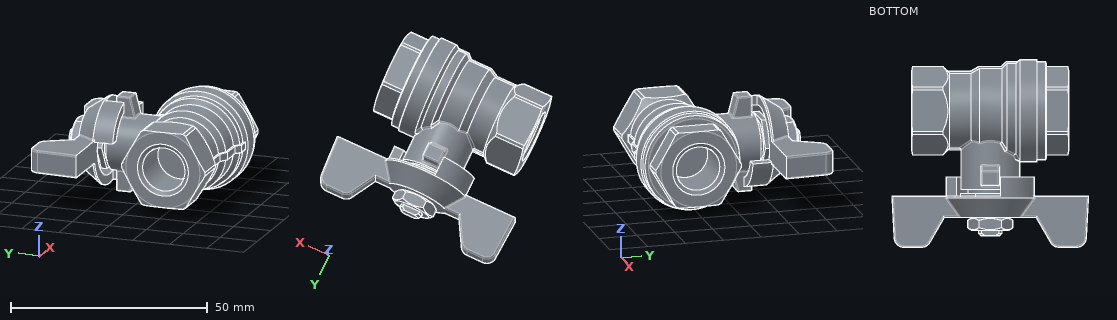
import cadquery as cq
import math


body_half_length = 20.0
hex_across_flats = 20.0
hex_corner_radius = 11.29
hex_end_chamfer = 0.25
left_hex_inner_x = -10.3
waist_radius = 9.55
belly_radius = 10.75
shoulder_radius = 12.0
collar_radius = 13.0
cap_radius = 12.5
waist_end_x = -4.85
belly_start_x = -2.75
belly_end_x = 2.95
shoulder_start_x = 4.25
shoulder_end_x = 6.5
collar_end_x = 11.85
cap_end_x = 14.35
cap_chamfer_length = 0.25
cap_chamfer_height = 0.8

port_diameter = 11.45
port_mouth_diameter = 13.75
port_mouth_depth = 0.65
port_depth = 12.0

rib_width = 2.0
rib_height = 0.5
rib_start_x = -10.7

neck_radius = 7.5
neck_top_y = 20.0
neck_blend_radius = 0.5
gland_radius = 11.26 / 2
stem_hex_across_flats = 13.0
stem_hex_bottom_y = 21.1
stem_hex_thickness = 1.5
lug_width = 4.6
lug_reach = 12.6
lug_top_y = 19.05
lug_tip_bottom_y = 15.3
lug_root_bottom_y = 14.0
lug_edge_radius = 0.3

hub_bottom_y = 21.73
hub_rim_y = 22.2
hub_top_y = 27.2
hub_radius = 11.5
hub_top_radius = 8.1
recess_radius = 9.0
recess_depth = 3.4
skirt_bottom_y = 16.8
skirt_gap_half_width = 2.6

wing_half_span = 25.0
wing_top_y = 34.73
wing_thickness = 6.0
wing_side_draft = 3.0
wing_slope_angle = 60.0
wing_slope_foot_x = 11.7
wing_corner_radius = 2.5
wing_edge_radius = 0.4
wing_root_radius = 0.3

edge_tolerance = 0.1

nut_across_flats = 10.0
nut_top_y = 30.43
nut_face_radius = 4.75
nut_chamfer_height = 0.7
stem_radius = 3.0
stem_tip_y = 31.8
stem_chamfer = 0.65
stem_across_flats = 4.0


def circumradius(across_flats):
    return across_flats / 2 / math.cos(math.pi / 6)


def turned_about_x(outline):
    """Solid of revolution about X from (x, radius) points."""
    return cq.Workplane("XY").polyline(outline).close().revolve(360, (0, 0, 0), (1, 0, 0))


def turned_about_y(outline):
    """Solid of revolution about Y from (radius, y) points."""
    return cq.Workplane("XY").polyline(outline).close().revolve(360, (0, 0, 0), (0, 1, 0))


def cylinder_along_y(radius, bottom_y, top_y):
    return turned_about_y([(0, bottom_y), (radius, bottom_y), (radius, top_y), (0, top_y)])


def hexagon_along_y(across_flats, bottom_y, top_y):
    """Hexagonal prism along Y with flats facing +Z and -Z."""
    prism = cq.Workplane("XZ").polygon(6, 2 * circumradius(across_flats)).extrude(bottom_y - top_y)
    return prism.translate((0, bottom_y, 0))


def wrench_hexagon(outer_x, inner_x):
    """Hexagon of the body along X with flats facing +Z and -Z."""
    blank = cq.Workplane("YZ").polygon(6, 2 * circumradius(hex_across_flats)).extrude(inner_x - outer_x)
    return blank.translate((outer_x, 0, 0))


def make_hexagons():
    flat_radius = hex_across_flats / 2
    left_corner_end_x = left_hex_inner_x - (hex_corner_radius - waist_radius)
    left_envelope = turned_about_x([
        (-body_half_length, 0),
        (-body_half_length, flat_radius),
        (-body_half_length + hex_end_chamfer, hex_corner_radius),
        (left_corner_end_x, hex_corner_radius),
        (left_hex_inner_x, waist_radius),
        (left_hex_inner_x, 0),
    ])
    right_envelope = turned_about_x([
        (collar_end_x, 0),
        (collar_end_x, hex_corner_radius),
        (body_half_length - hex_end_chamfer, hex_corner_radius),
        (body_half_length, flat_radius),
        (body_half_length, 0),
    ])
    left = wrench_hexagon(-body_half_length, left_hex_inner_x).intersect(left_envelope)
    right = wrench_hexagon(collar_end_x, body_half_length).intersect(right_envelope)
    return left, right


def make_barrel_core():
    """Barrel left of the collar; its last cone runs on past the collar radius."""
    cone_reach = 2 * (collar_radius - shoulder_radius)
    return turned_about_x([
        (left_hex_inner_x, 0),
        (left_hex_inner_x, waist_radius),
        (waist_end_x, waist_radius),
        (belly_start_x, belly_radius),
        (belly_end_x, belly_radius),
        (shoulder_start_x, shoulder_radius),
        (shoulder_end_x, shoulder_radius),
        (shoulder_end_x + cone_reach, shoulder_radius + cone_reach),
        (shoulder_end_x + cone_reach, 0),
    ])


def make_collar():
    collar_start_x = shoulder_end_x + collar_radius - shoulder_radius
    return turned_about_x([
        (shoulder_end_x, 0),
        (shoulder_end_x, shoulder_radius),
        (collar_start_x, collar_radius),
        (collar_end_x, collar_radius),
        (collar_end_x, cap_radius),
        (cap_end_x - cap_chamfer_length, cap_radius),
        (cap_end_x, cap_radius - cap_chamfer_height),
        (cap_end_x, 0),
    ])


def make_rib():
    """Rib following the barrel profile on the +Y and -Y sides."""
    cone_angle = math.radians(45)
    shift = rib_height * math.tan(cone_angle / 2)
    rib_end_x = shoulder_end_x + rib_height
    ring = turned_about_x([
        (rib_start_x, 0),
        (rib_start_x, waist_radius + rib_height),
        (waist_end_x - shift, waist_radius + rib_height),
        (belly_start_x - shift, belly_radius + rib_height),
        (belly_end_x - shift, belly_radius + rib_height),
        (shoulder_start_x - shift, shoulder_radius + rib_height),
        (rib_end_x, shoulder_radius + rib_height),
        (rib_end_x, 0),
    ])
    slab = cq.Workplane("XY").box(2 * body_half_length, 2 * collar_radius, rib_width)
    return ring.intersect(slab)


def make_port_cutter(side):
    """Blind port with a conical mouth; side is -1 or +1 along X."""
    radius = port_diameter / 2
    mouth_radius = port_mouth_diameter / 2
    end_x = side * body_half_length
    return turned_about_x([
        (end_x, 0),
        (end_x, mouth_radius),
        (end_x - side * port_mouth_depth, radius),
        (end_x - side * port_depth, radius),
        (end_x - side * port_depth, 0),
    ])


def make_blended_core():
    """Barrel core and neck with a filleted seam, built as one half and mirrored."""
    neck = cylinder_along_y(neck_radius, 0, neck_top_y)
    block_size = 2 * body_half_length
    upper_block = cq.Workplane("XY").box(2 * block_size, 2 * block_size, block_size)
    upper_block = upper_block.translate((0, 0, block_size / 2))
    half = make_barrel_core().union(neck).intersect(upper_block)
    neck_wall = half.faces(cq.selectors.NearestToPointSelector((0, collar_radius, neck_radius)))
    seam_zone = cq.selectors.BoxSelector(
        (-collar_radius, 0, -collar_radius),
        (collar_radius, lug_top_y, collar_radius),
    )
    half = neck_wall.edges("not %LINE").edges(seam_zone).fillet(neck_blend_radius)
    envelope = turned_about_x([
        (-body_half_length, 0),
        (-body_half_length, collar_radius),
        (body_half_length, collar_radius),
        (body_half_length, 0),
    ])
    return half.union(half.mirror("XY")).intersect(envelope.union(neck))


def make_body():
    body = make_blended_core().union(make_collar()).union(make_rib())
    for hexagon in make_hexagons():
        body = body.union(hexagon)
    for side in (-1, 1):
        body = body.cut(make_port_cutter(side))
    return body


def make_lug():
    """Stop lug on the +Z side of the neck, with a sloping lower face."""
    slope = (lug_tip_bottom_y - lug_root_bottom_y) / (lug_reach - neck_radius)
    inner_z = neck_radius / 2
    inner_bottom_y = lug_root_bottom_y - slope * (neck_radius - inner_z)
    lug = (
        cq.Workplane("YZ")
        .polyline([
            (lug_top_y, inner_z),
            (lug_top_y, lug_reach),
            (lug_tip_bottom_y, lug_reach),
            (inner_bottom_y, inner_z),
        ])
        .close()
        .extrude(lug_width / 2, both=True)
    )
    return lug.edges("not <Z").fillet(lug_edge_radius)


def make_lugged_neck():
    """Upper part of the neck with both lugs and the fillets at their roots."""
    neck = cylinder_along_y(neck_radius, collar_radius, neck_top_y)
    lug = make_lug()
    neck = neck.union(lug).union(lug.mirror("XY"))
    tip_reach = neck_radius + lug_edge_radius
    root_zone = cq.selectors.BoxSelector(
        (-lug_width, collar_radius + lug_edge_radius, -tip_reach),
        (lug_width, neck_top_y - lug_edge_radius, tip_reach),
    )
    return neck.edges(root_zone).fillet(lug_edge_radius)


def make_hub():
    return turned_about_y([
        (0, hub_bottom_y),
        (hub_radius, hub_bottom_y),
        (hub_radius, hub_rim_y),
        (hub_top_radius, hub_top_y),
        (0, hub_top_y),
    ])


def make_skirt(side):
    """Quarter ring below the hub; side +1 lies at -X +Z, side -1 opposite."""
    ring = cylinder_along_y(hub_radius, skirt_bottom_y, hub_bottom_y)
    ring = ring.cut(cylinder_along_y(recess_radius, skirt_bottom_y, hub_bottom_y))
    block_size = 2 * hub_radius
    offset = skirt_gap_half_width + block_size / 2
    quarter = cq.Workplane("XY").box(block_size, 4 * block_size, block_size)
    return ring.intersect(quarter.translate((-side * offset, 0, side * offset)))


def make_wings():
    height = wing_top_y - hub_bottom_y
    top_outer_x = wing_half_span - height * math.tan(math.radians(wing_side_draft))
    slope_run = (wing_top_y - hub_top_y) / math.tan(math.radians(wing_slope_angle))
    top_inner_x = wing_slope_foot_x + slope_run
    right_side = [
        (wing_slope_foot_x, hub_top_y),
        (top_inner_x, wing_top_y),
        (top_outer_x, wing_top_y),
        (wing_half_span, hub_bottom_y),
    ]
    left_side = [(-x, y) for x, y in reversed(right_side)]
    wings = (
        cq.Workplane("XY")
        .polyline(left_side + right_side)
        .close()
        .extrude(wing_thickness / 2, both=True)
    )
    top_corners = cq.selectors.BoxSelector(
        (-wing_half_span, wing_top_y - edge_tolerance, -wing_thickness),
        (wing_half_span, wing_top_y + edge_tolerance, wing_thickness),
    )
    wings = wings.edges("|Z").edges(top_corners).fillet(wing_corner_radius)
    above_bottom = cq.selectors.BoxSelector(
        (-wing_half_span, hub_bottom_y + edge_tolerance, -wing_thickness),
        (wing_half_span, wing_top_y + edge_tolerance, wing_thickness),
    )
    return wings.faces("<Z or >Z").edges(above_bottom).fillet(wing_edge_radius)


def wing_root_zone(side):
    """Selects where the +Z (side +1) or -Z (side -1) wing faces meet the hub."""
    face_z = side * wing_thickness / 2
    return cq.selectors.BoxSelector(
        (-hub_radius, hub_bottom_y + edge_tolerance, face_z - edge_tolerance),
        (hub_radius, hub_top_y - edge_tolerance, face_z + edge_tolerance),
    )


def make_handle():
    """Hub and wings, hollowed from below, with two quarter-ring skirts."""
    handle = make_hub().union(make_wings())
    for side in (-1, 1):
        handle = handle.edges(wing_root_zone(side)).fillet(wing_root_radius)
    handle = handle.cut(cylinder_along_y(recess_radius, hub_bottom_y, hub_bottom_y + recess_depth))
    for side in (1, -1):
        handle = handle.union(make_skirt(side))
    return handle


def make_nut():
    corner_radius = circumradius(nut_across_flats)
    envelope = turned_about_y([
        (0, hub_top_y),
        (nut_face_radius, hub_top_y),
        (corner_radius, hub_top_y + nut_chamfer_height),
        (corner_radius, nut_top_y - nut_chamfer_height),
        (nut_face_radius, nut_top_y),
        (0, nut_top_y),
    ])
    return hexagon_along_y(nut_across_flats, hub_top_y, nut_top_y).intersect(envelope)


def make_stem():
    gland = cylinder_along_y(gland_radius, neck_top_y, hub_bottom_y + recess_depth)
    stem_hex_top_y = stem_hex_bottom_y + stem_hex_thickness
    collar = hexagon_along_y(stem_hex_across_flats, stem_hex_bottom_y, stem_hex_top_y)
    tip = turned_about_y([
        (0, nut_top_y),
        (stem_radius, nut_top_y),
        (stem_radius, stem_tip_y - stem_chamfer),
        (stem_radius - stem_chamfer, stem_tip_y),
        (0, stem_tip_y),
    ])
    flats = cq.Workplane("XY").box(2 * stem_radius, 2 * stem_tip_y, stem_across_flats)
    return gland.union(collar).union(tip.intersect(flats))


def make_valve():
    valve = make_body().union(make_lugged_neck())
    return valve.union(make_stem()).union(make_handle()).union(make_nut())


result = make_valve()